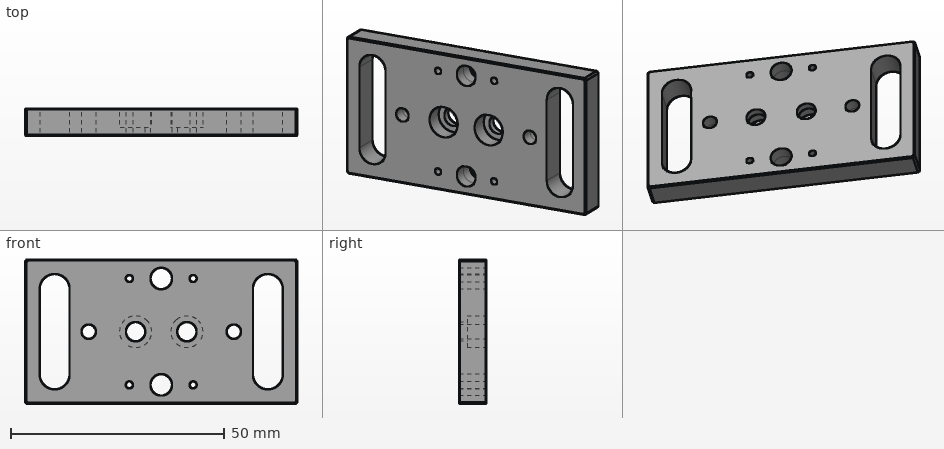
import cadquery as cq

length = 64.0
thickness = 6.5
height = 34.0
corner_chamfer = 0.5
face_chamfer = 0.3

slot_width = 7.0
slot_length = 27.0
slot_offset = 25.0

row_offset = 12.5
large_diameter = 5.0
pin_diameter = 1.6
pin_offset = 7.5
center_diameter = 4.5
center_offset = 6.0
counterbore_diameter = 7.5
counterbore_depth = 4.5
side_diameter = 3.3
side_offset = 17.0


def mirrored(x, z):
    """Positions reflected about both middle planes, without duplicates."""
    return sorted({(sx * x, sz * z) for sx in (-1, 1) for sz in (-1, 1)})


def drill(plate, diameter, positions):
    """Drill through holes along Y at the given (x, z) positions."""
    holes = (
        cq.Workplane("XZ")
        .pushPoints(positions)
        .circle(diameter / 2)
        .extrude(thickness, both=True)
    )
    return plate.cut(holes)


result = (
    cq.Workplane("XY")
    .box(length, thickness, height)
    .edges("|Y")
    .chamfer(corner_chamfer)
    .faces("<Y or >Y")
    .edges()
    .chamfer(face_chamfer)
)

slots = (
    cq.Workplane("XZ")
    .pushPoints(mirrored(slot_offset, 0))
    .slot2D(slot_length, slot_width, angle=90)
    .extrude(thickness, both=True)
)
result = result.cut(slots)

result = drill(result, large_diameter, mirrored(0, row_offset))
result = drill(result, pin_diameter, mirrored(pin_offset, row_offset))
result = drill(result, center_diameter, mirrored(center_offset, 0))
result = drill(result, side_diameter, mirrored(side_offset, 0))

counterbores = (
    cq.Workplane("XZ", origin=(0, thickness / 2, 0))
    .pushPoints(mirrored(center_offset, 0))
    .circle(counterbore_diameter / 2)
    .extrude(counterbore_depth)
)
result = result.cut(counterbores)